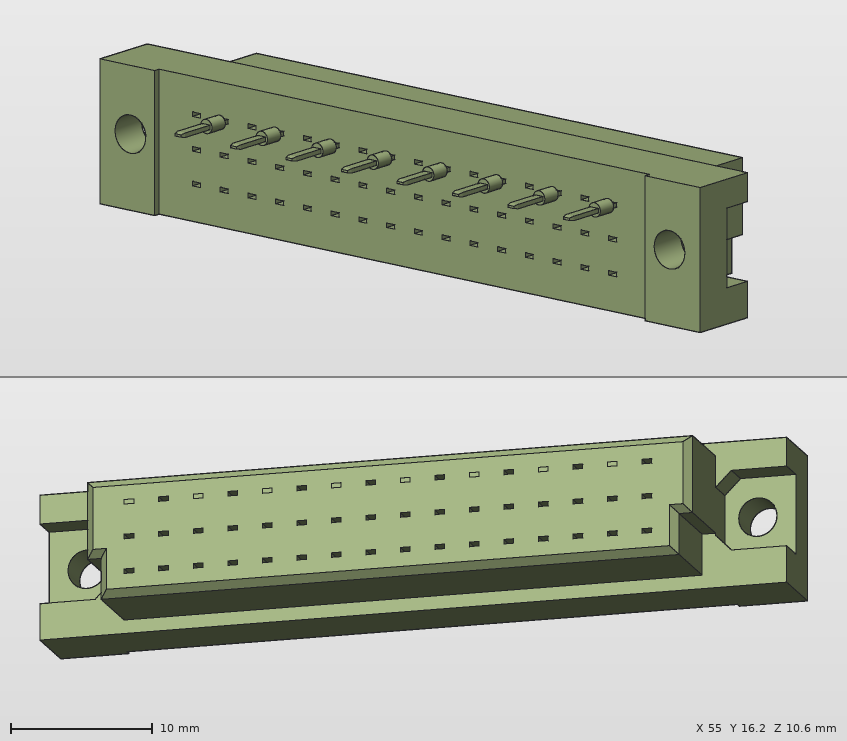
import cadquery as cq
import math

flange_length = 55.0
flange_height = 10.6
flange_thickness = 5.3
plug_length = 44.55
plug_height = 8.65
plug_depth = 6.3
plug_chamfer = 0.55

key_inset = 1.0
key_top_z = -1.3

recess_length = 44.95
recess_depth = 0.5

mount_spacing = 49.4
mount_z = 0.3
mount_hole_diameter = 2.8
channel_height = 5.85
channel_depth = 2.3
channel_chamfer = 1.15

column_count = 16
row_count = 3
column_span = 38.1
pitch = column_span / (column_count - 1)
contact_width = 0.7
contact_thickness = 0.35

pin_length = 16.2
collar_diameter = 1.05
collar_length = 1.5
tip_length = 0.4
tip_inset = 0.08
tip_taper = math.degrees(math.atan(tip_inset / tip_length))

front_y = -flange_thickness
recess_y = front_y + recess_depth
back_y = plug_depth
tip_start_y = back_y - pin_length + tip_length

column_x = [-column_span / 2 + pitch * i for i in range(column_count)]
row_z = [pitch * (i - (row_count - 1) / 2) for i in range(row_count)]
top_row_z = row_z[-1]
pin_x = column_x[1::2]


def block(length, height, y_start, y_end, x=0.0, z=0.0):
    """Box centred on (x, z) that reaches from y_start to y_end."""
    return (
        cq.Workplane("XY")
        .box(length, y_end - y_start, height)
        .translate((x, (y_start + y_end) / 2, z))
    )


def make_plug():
    """Plug body with keyed ends and a chamfer around its back face."""
    half_length = plug_length / 2
    key_half_length = half_length - key_inset
    half_height = plug_height / 2
    outline = [
        (-half_length, half_height),
        (half_length, half_height),
        (half_length, key_top_z),
        (key_half_length, key_top_z),
        (key_half_length, -half_height),
        (-key_half_length, -half_height),
        (-key_half_length, key_top_z),
        (-half_length, key_top_z),
    ]
    plug = cq.Workplane("XZ").polyline(outline).close().extrude(-plug_depth)
    return plug.faces(">Y").chamfer(plug_chamfer)


def make_channel(side):
    """Cutter for the channel in the back of one flange end; its inner corners are at 45 degrees."""
    inner_x = side * plug_length / 2
    chamfer_x = inner_x + side * channel_chamfer
    outer_x = side * flange_length / 2
    top_z = mount_z + channel_height / 2
    bottom_z = mount_z - channel_height / 2
    outline = [
        (outer_x, top_z),
        (chamfer_x, top_z),
        (inner_x, top_z - channel_chamfer),
        (inner_x, bottom_z + channel_chamfer),
        (chamfer_x, bottom_z),
        (outer_x, bottom_z),
    ]
    return cq.Workplane("XZ").polyline(outline).close().extrude(channel_depth)


def make_mount_holes():
    """Cutters for the two holes through the flange ends."""
    centres = [(-mount_spacing / 2, mount_z), (mount_spacing / 2, mount_z)]
    return cq.Workplane("XZ").pushPoints(centres).circle(mount_hole_diameter / 2).extrude(flange_thickness)


def make_slots():
    """Cutters for the contact slots, which pass through the whole housing."""
    centres = [(x, z) for x in column_x for z in row_z]
    return (
        cq.Workplane("XZ", origin=(0, back_y, 0))
        .pushPoints(centres)
        .rect(contact_width, contact_thickness)
        .extrude(back_y - recess_y)
    )


def make_housing():
    housing = block(flange_length, flange_height, front_y, 0).union(make_plug())
    housing = housing.cut(block(recess_length, flange_height, front_y, recess_y))
    for side in (-1, 1):
        housing = housing.cut(make_channel(side))
    return housing.cut(make_mount_holes()).cut(make_slots())


def make_pin(x):
    """Pin that fills its slot and stands out in front of the housing, tapered on all sides at its tip."""
    blade = block(contact_width, contact_thickness, tip_start_y, back_y, x, top_row_z)
    tip = (
        cq.Workplane("XZ", origin=(x, tip_start_y, top_row_z))
        .rect(contact_width, contact_thickness)
        .extrude(tip_length, taper=tip_taper)
    )
    collar = (
        cq.Workplane("XZ", origin=(x, front_y, top_row_z))
        .circle(collar_diameter / 2)
        .extrude(collar_length)
    )
    return blade.union(tip).union(collar)


housing = make_housing()
pins = [make_pin(x) for x in pin_x]

result = cq.Compound.makeCompound([housing.solids().val(), *[pin.solids().val() for pin in pins]])